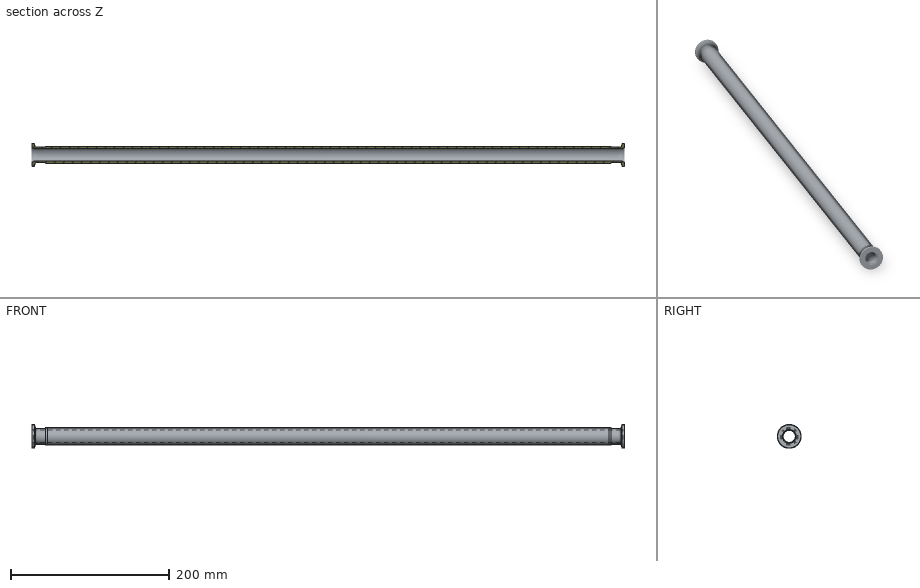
import cadquery as cq

total_length = 750.0
flange_diameter = 30.0
tube_diameter = 22.4
sleeve_diameter = 22.0
neck_diameter = 20.0
bore_diameter = 15.5

recess_diameter = 17.2
recess_depth = 2.0

rim_width = 3.0
taper_width = 1.7
neck_length = 12.3
sleeve_length = 2.4

taper_end = rim_width + taper_width
neck_end = taper_end + neck_length
sleeve_end = neck_end + sleeve_length

half_length = total_length / 2


def half_outside():
    """The -X half, solid: flange rim, tapered flange back, neck, sleeve and tube, turned about X."""
    end_face = -half_length
    flange_radius = flange_diameter / 2
    neck_radius = neck_diameter / 2
    sleeve_radius = sleeve_diameter / 2
    tube_radius = tube_diameter / 2
    profile = (
        cq.Workplane("XY")
        .moveTo(end_face, 0)
        .lineTo(end_face, flange_radius)
        .lineTo(end_face + rim_width, flange_radius)
        .lineTo(end_face + taper_end, neck_radius)
        .lineTo(end_face + neck_end, neck_radius)
        .lineTo(end_face + neck_end, sleeve_radius)
        .lineTo(end_face + sleeve_end, sleeve_radius)
        .lineTo(end_face + sleeve_end, tube_radius)
        .lineTo(0, tube_radius)
        .lineTo(0, 0)
        .close()
    )
    return profile.revolve(360, (0, 0, 0), (1, 0, 0))


def cylinder_along_x(start, length, diameter):
    return cq.Workplane("YZ", origin=(start, 0, 0)).circle(diameter / 2).extrude(length)


left_half = half_outside()
body = left_half.union(left_half.mirror("YZ")).clean()

body = body.cut(cylinder_along_x(-half_length, total_length, bore_diameter))
for recess_start in (-half_length, half_length - recess_depth):
    body = body.cut(cylinder_along_x(recess_start, recess_depth, recess_diameter))

result = body